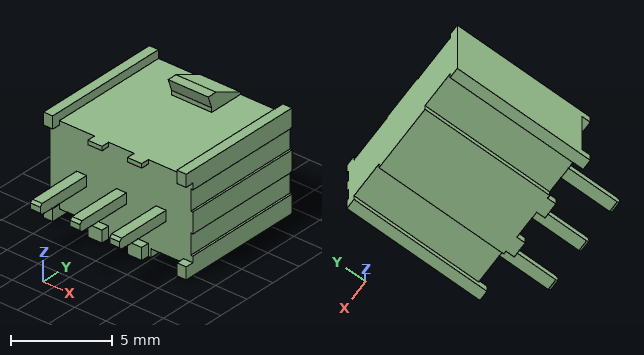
import cadquery as cq


pitch = 2.54
pin_size = 0.64
pin_length = 3.56
pin_tip_chamfer = 0.15
pin_z = -0.254

housing_width = 9.14
housing_depth = 7.62
core_height = 5.08
core_top = core_height / 2
rail_width = 0.6
rail_height = 0.51
rail_top = core_top + rail_height

standoff_length = 0.51
corner_standoff_height = 0.762
middle_standoff_width = 0.91
upper_standoff_height = 0.254
lower_standoff_height = corner_standoff_height

key_width = 3.81

groove_height = 1.27
groove_depth = 0.127
groove_offset = 1.27

latch_width = 2.56
latch_height = 1.01
latch_back_height = 0.13
latch_ramp_length = 1.9
latch_length = 2.5
latch_lip_height = 0.75
latch_overhang = 0.27


def box(width, depth, height, x, y, z):
    """Box centred on x, starting at y and z and growing towards +Y and +Z."""
    return (
        cq.Workplane("XY")
        .box(width, depth, height, centered=(True, False, False))
        .translate((x, y, z))
    )


def make_pin(x):
    """Square pin at x, with its tip chamfered above and below."""
    pin = box(pin_size, pin_length, pin_size, x, -pin_length, pin_z - pin_size / 2)
    return pin.faces("<Y").edges("|X").chamfer(pin_tip_chamfer)


def make_side_rails(side):
    """Upper and lower rails on one side, each ending in a corner standoff."""
    x = side * (housing_width - rail_width) / 2
    rails = box(rail_width, housing_depth, 2 * rail_top, x, 0, -rail_top)
    for z in (-rail_top, rail_top - corner_standoff_height):
        standoff = box(rail_width, standoff_length, corner_standoff_height, x, -standoff_length, z)
        rails = rails.union(standoff)
    return rails


def make_middle_standoffs(x):
    """Upper and lower standoffs midway between two pins."""
    upper = box(
        middle_standoff_width, standoff_length, upper_standoff_height,
        x, -standoff_length, core_top - upper_standoff_height,
    )
    lower = box(
        middle_standoff_width, standoff_length, lower_standoff_height,
        x, -standoff_length, -rail_top,
    )
    return upper.union(lower)


def make_latch():
    """Wedge that ramps up from a low step at the +Y edge to a flat crest above an undercut lip."""
    crest_z = core_top + latch_height
    lip_z = crest_z - latch_lip_height
    foot_y = housing_depth - latch_length + latch_overhang
    return (
        cq.Workplane("YZ")
        .moveTo(housing_depth, core_top)
        .lineTo(housing_depth, core_top + latch_back_height)
        .lineTo(housing_depth - latch_ramp_length, crest_z)
        .lineTo(housing_depth - latch_length, crest_z)
        .lineTo(foot_y, lip_z)
        .lineTo(foot_y, core_top)
        .close()
        .extrude(latch_width / 2, both=True)
    )


def make_groove(z):
    """Cutter for a full-depth groove in the +X side, centred on z."""
    x = (housing_width - groove_depth) / 2
    return box(groove_depth, housing_depth, groove_height, x, 0, z - groove_height / 2)


def make_housing():
    """Housing with its rails, standoffs, key rib, latch and side grooves."""
    body = box(housing_width, housing_depth, core_height, 0, 0, -core_top)
    body = body.union(box(key_width, housing_depth, rail_height, 0, 0, -rail_top))
    for side in (-1, 1):
        body = body.union(make_side_rails(side))
        body = body.union(make_middle_standoffs(side * pitch / 2))
    for direction in (-1, 1):
        body = body.cut(make_groove(direction * groove_offset))
    return body.union(make_latch())


housing = make_housing().union(make_pin(0))
outer_pins = [make_pin(side * pitch) for side in (-1, 1)]

result = cq.Compound.makeCompound([housing.val(), *[pin.val() for pin in outer_pins]])